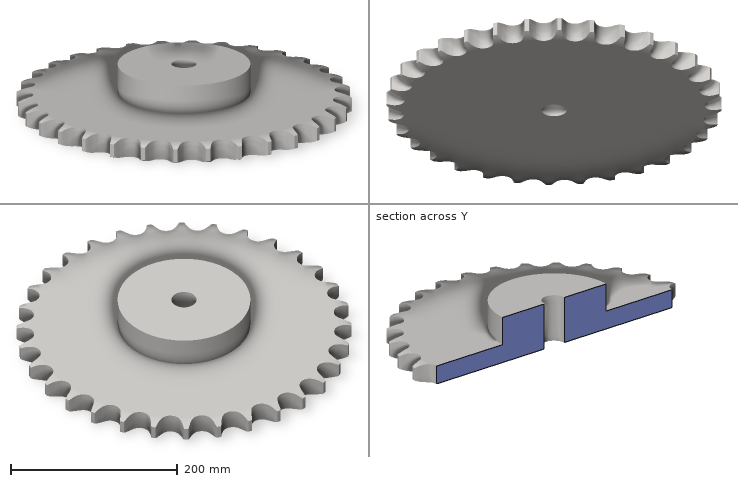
import cadquery as cq
import math

TEETH = 32
OUTER_SIDE = 402.0
ROLLER_DIAMETER = 25.5
ROOT_DIAMETER = 363.0
PLATE_THICKNESS = 24.0
TOTAL_HEIGHT = 60.0
HUB_DIAMETER = 160.0
BORE_DIAMETER = 30.0
RELIEF_START_RADIUS = 185.0
RELIEF_ARC_RADIUS = 38.2

PITCH_ANGLE = 360.0 / TEETH
SEAT_END = math.radians(55 - 60 / TEETH)
FLANK_SWEEP = math.radians(18 - 56 / TEETH)
TOPPING_SWEEP = math.radians(17 - 64 / TEETH)
FLANK_END = SEAT_END + FLANK_SWEEP

SEAT_RADIUS = ROLLER_DIAMETER / 2
FLANK_RADIUS = 1.3 * ROLLER_DIAMETER
STRAIGHT_LENGTH = ROLLER_DIAMETER * (1.4 * math.sin(TOPPING_SWEEP) - 0.8 * math.sin(FLANK_SWEEP))
TOPPING_RADIUS = ROLLER_DIAMETER * (0.8 * math.cos(FLANK_SWEEP) + 1.4 * math.cos(TOPPING_SWEEP) - 1.3)

ROOT_RADIUS = ROOT_DIAMETER / 2
SEAT_CENTER = ROOT_RADIUS + SEAT_RADIUS
TIP_HEIGHT = OUTER_SIDE / 2
CUT_MARGIN = 2.0


def seat_point(angle):
    """Point on the roller seat."""
    return SEAT_RADIUS * math.sin(angle), SEAT_CENTER - SEAT_RADIUS * math.cos(angle)


def flank_point(angle):
    """Point on the larger hollow arc that continues the seat tangentially."""
    shift = FLANK_RADIUS - SEAT_RADIUS
    center_x = -shift * math.sin(SEAT_END)
    center_y = SEAT_CENTER + shift * math.cos(SEAT_END)
    return center_x + FLANK_RADIUS * math.sin(angle), center_y - FLANK_RADIUS * math.cos(angle)


def topping_start():
    """Outer end of the straight flank."""
    x, y = flank_point(FLANK_END)
    return x + STRAIGHT_LENGTH * math.cos(FLANK_END), y + STRAIGHT_LENGTH * math.sin(FLANK_END)


def topping_point(y):
    """Point at height y on the bulging arc that narrows the tooth toward its tip."""
    start_x, start_y = topping_start()
    center_x = start_x + TOPPING_RADIUS * math.sin(FLANK_END)
    center_y = start_y - TOPPING_RADIUS * math.cos(FLANK_END)
    return center_x - math.sqrt(TOPPING_RADIUS**2 - (y - center_y) ** 2), y


def mirrored(point):
    return -point[0], point[1]


TIP_RADIUS = math.hypot(*topping_point(TIP_HEIGHT))


def relief_drop(width):
    """Axial drop of the rounded face at a radial distance beyond its start."""
    return RELIEF_ARC_RADIUS - math.sqrt(RELIEF_ARC_RADIUS**2 - width**2)


def make_blank():
    """Disc with both faces curving inward toward the rim."""
    relief_width = TIP_RADIUS - RELIEF_START_RADIUS
    rim_drop = relief_drop(relief_width)
    middle_radius = RELIEF_START_RADIUS + relief_width / 2
    middle_drop = relief_drop(relief_width / 2)
    return (
        cq.Workplane("XZ")
        .lineTo(RELIEF_START_RADIUS, 0)
        .threePointArc((middle_radius, middle_drop), (TIP_RADIUS, rim_drop))
        .lineTo(TIP_RADIUS, PLATE_THICKNESS - rim_drop)
        .threePointArc(
            (middle_radius, PLATE_THICKNESS - middle_drop),
            (RELIEF_START_RADIUS, PLATE_THICKNESS),
        )
        .lineTo(0, PLATE_THICKNESS)
        .close()
        .revolve(360, (0, 0, 0), (0, 1, 0))
    )


def make_gap_cutter():
    """Space between two teeth, centred on the +Y axis."""
    root = (0, ROOT_RADIUS)
    seat_end = seat_point(SEAT_END)
    flank_middle = flank_point(SEAT_END + FLANK_SWEEP / 2)
    flank_end = flank_point(FLANK_END)
    straight_end = topping_start()
    topping_end = topping_point(TIP_HEIGHT + CUT_MARGIN)
    topping_middle = topping_point((straight_end[1] + topping_end[1]) / 2)
    cut_corner = (topping_end[0], topping_end[1] + CUT_MARGIN)
    return (
        cq.Workplane("XY")
        .moveTo(*mirrored(seat_end))
        .threePointArc(root, seat_end)
        .threePointArc(flank_middle, flank_end)
        .lineTo(*straight_end)
        .threePointArc(topping_middle, topping_end)
        .lineTo(*cut_corner)
        .lineTo(*mirrored(cut_corner))
        .lineTo(*mirrored(topping_end))
        .threePointArc(mirrored(topping_middle), mirrored(straight_end))
        .lineTo(*mirrored(flank_end))
        .threePointArc(mirrored(flank_middle), mirrored(seat_end))
        .close()
        .extrude(PLATE_THICKNESS)
        .val()
    )


def cut_gaps(blank):
    cutter = make_gap_cutter()
    cutters = [
        cutter.rotate(cq.Vector(0, 0, 0), cq.Vector(0, 0, 1), index * PITCH_ANGLE)
        for index in range(TEETH)
    ]
    return cq.Workplane("XY").newObject([blank.val().cut(*cutters)])


def add_hub(plate):
    hub = cq.Workplane("XY").circle(HUB_DIAMETER / 2).extrude(TOTAL_HEIGHT)
    return plate.union(hub)


def cut_bore(body):
    bore = cq.Workplane("XY").circle(BORE_DIAMETER / 2).extrude(TOTAL_HEIGHT)
    return body.cut(bore)


result = cut_bore(add_hub(cut_gaps(make_blank())))